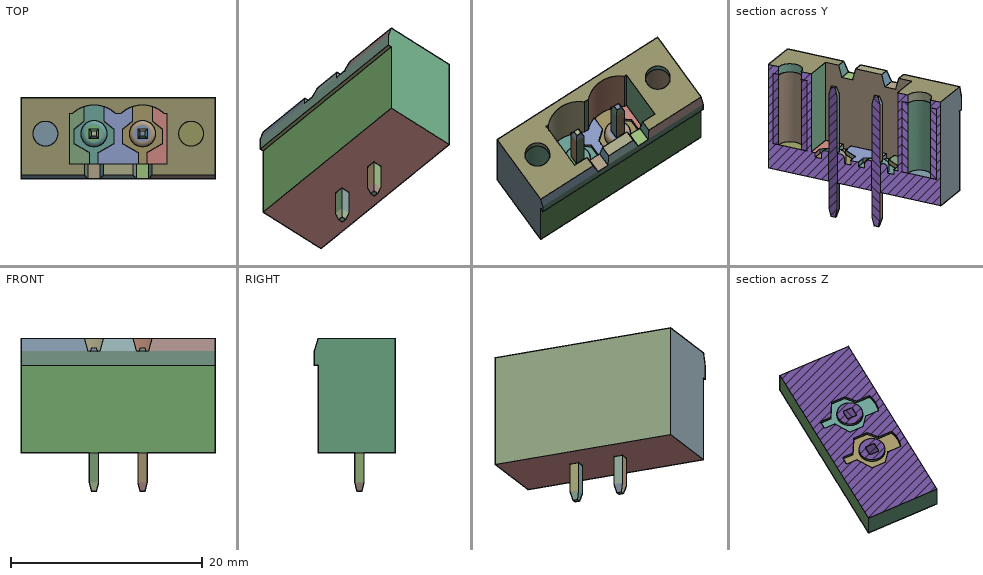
import cadquery as cq


pitch = 5.08
pin_positions = [-pitch / 2, pitch / 2]
insert_positions = [-1.5 * pitch, 1.5 * pitch]

housing_width = 4 * pitch
housing_height = 11.99
back_y = 3.75
front_y = -4.33
lip_overhang = 0.4
lip_bottom_depth = 2.82
lip_slope_height = 1.35

cavity_width = 2 * pitch
cavity_depth = 9.0
cavity_front_y = -3.2
cavity_shelf_y = 2.1
cavity_arc_y = 3.0
cavity_arc_half_width = 2.28
floor_z = housing_height - cavity_depth

notch_top_width = 2.0
notch_bottom_width = 1.25

recess_depth = 0.5
recess_back_half_width = 1.04
recess_waist_half_width = 2.07
recess_front_half_width = 0.45
recess_back_y = 1.3
recess_waist_back_y = 0.47
recess_waist_front_y = -1.05
recess_front_y = -2.0
boss_diameter = 2.75
boss_fillet = 0.49
boss_height = 1.0

pin_side = 1.0
pin_tip_side = 0.53
pin_tip_length = 0.9
pin_top_z = housing_height - 1.02
pin_bottom_z = -4.0

bore_diameter = 2.6
bore_depth = cavity_depth
insert_diameter = 4.0
insert_top_depth = 0.95
insert_length = bore_depth - insert_top_depth
insert_bottom_z = housing_height - bore_depth


def make_block():
    """Housing block with its lip, as a side profile extruded along X."""
    lip_y = front_y - lip_overhang
    profile = [
        (back_y, 0),
        (back_y, housing_height),
        (front_y, housing_height),
        (lip_y, housing_height - lip_slope_height),
        (lip_y, housing_height - lip_bottom_depth),
        (front_y, housing_height - lip_bottom_depth),
        (front_y, 0),
    ]
    return cq.Workplane("YZ").polyline(profile).close().extrude(housing_width / 2, both=True)


def make_cavity():
    """Mating cavity: straight front and sides, and one arched bay behind each pin."""
    half_width = cavity_width / 2
    outline = (
        cq.Workplane("XY", origin=(0, 0, floor_z))
        .moveTo(half_width, cavity_front_y)
        .lineTo(-half_width, cavity_front_y)
        .lineTo(-half_width, cavity_shelf_y)
    )
    for x in pin_positions:
        outline = outline.lineTo(x - cavity_arc_half_width, cavity_shelf_y).threePointArc(
            (x, cavity_arc_y), (x + cavity_arc_half_width, cavity_shelf_y)
        )
    return outline.lineTo(half_width, cavity_shelf_y).close().extrude(cavity_depth)


def make_notch(x):
    """Tapered notch from the cavity out through the lip."""
    notch_bottom_z = housing_height - lip_slope_height
    notch_length = cavity_front_y - front_y + lip_overhang
    profile = [
        (x - notch_top_width / 2, housing_height),
        (x + notch_top_width / 2, housing_height),
        (x + notch_bottom_width / 2, notch_bottom_z),
        (x - notch_bottom_width / 2, notch_bottom_z),
    ]
    notch_plane = cq.Workplane("XZ", origin=(0, cavity_front_y, 0))
    return notch_plane.polyline(profile).close().extrude(notch_length)


def make_recess(x, cavity):
    """Keyhole recess in the cavity floor, ending at the cavity's front and back walls."""
    right_side = [
        (recess_back_half_width, cavity_arc_y),
        (recess_back_half_width, recess_back_y),
        (recess_waist_half_width, recess_waist_back_y),
        (recess_waist_half_width, recess_waist_front_y),
        (recess_front_half_width, recess_front_y),
        (recess_front_half_width, cavity_front_y),
    ]
    left_side = [(-dx, y) for dx, y in reversed(right_side)]
    outline = [(x + dx, y) for dx, y in right_side + left_side]
    keyhole = (
        cq.Workplane("XY", origin=(0, 0, floor_z - recess_depth))
        .polyline(outline)
        .close()
        .extrude(recess_depth)
    )
    return keyhole.intersect(cavity.translate((0, 0, -recess_depth)))


def make_boss(x):
    """Domed boss that rises from the recess around a pin."""
    return (
        cq.Workplane("XY", origin=(x, 0, floor_z - recess_depth))
        .circle(boss_diameter / 2)
        .extrude(boss_height)
        .faces(">Z")
        .edges()
        .fillet(boss_fillet)
    )


def make_pin_tip(x, base_z, direction):
    """Square tip that narrows away from base_z, upward (1) or downward (-1)."""
    return (
        cq.Workplane("XY", origin=(x, 0, base_z))
        .rect(pin_side, pin_side)
        .workplane(offset=direction * pin_tip_length)
        .rect(pin_tip_side, pin_tip_side)
        .loft()
    )


def make_pin(x):
    """Square pin with a tapered tip at each end."""
    shank_bottom_z = pin_bottom_z + pin_tip_length
    shank_top_z = pin_top_z - pin_tip_length
    shank = (
        cq.Workplane("XY", origin=(x, 0, shank_bottom_z))
        .rect(pin_side, pin_side)
        .extrude(shank_top_z - shank_bottom_z)
    )
    top_tip = make_pin_tip(x, shank_top_z, 1)
    bottom_tip = make_pin_tip(x, shank_bottom_z, -1)
    return shank.union(top_tip).union(bottom_tip)


def make_insert_envelope(x):
    """Solid cylinder that fills the seat of a screw insert."""
    seat_plane = cq.Workplane("XY", origin=(x, 0, insert_bottom_z))
    return seat_plane.circle(insert_diameter / 2).extrude(insert_length)


def make_bore(x):
    """Blind screw bore through the housing top and the insert."""
    bore_plane = cq.Workplane("XY", origin=(x, 0, insert_bottom_z))
    return bore_plane.circle(bore_diameter / 2).extrude(bore_depth)


def make_insert(x):
    """Sleeve whose bore continues the hole in the housing top."""
    return make_insert_envelope(x).cut(make_bore(x))


def make_housing(pins):
    """Housing with its cavity, recesses, bosses, pin holes and insert seats."""
    cavity = make_cavity()
    body = make_block().cut(cavity)
    for x in pin_positions:
        body = body.cut(make_notch(x)).cut(make_recess(x, cavity)).union(make_boss(x))
    for pin in pins:
        body = body.cut(pin)
    for x in insert_positions:
        body = body.cut(make_insert_envelope(x)).cut(make_bore(x))
    return body


pins = [make_pin(x) for x in pin_positions]
inserts = [make_insert(x) for x in insert_positions]
housing = make_housing(pins)

result = cq.Compound.makeCompound([body.val() for body in [housing, *pins, *inserts]])